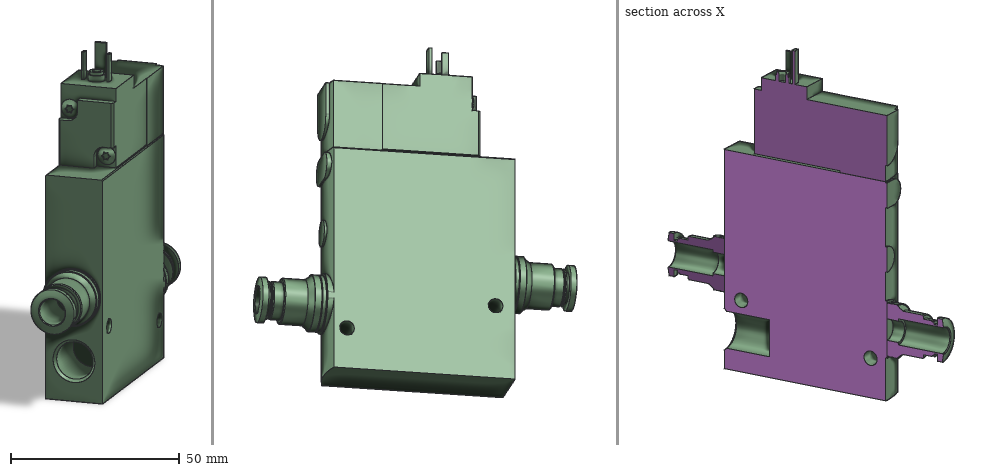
import cadquery as cq
import math

body_width = 18.0
body_side_depth = 55.1
body_depth = 56.4
body_height = 69.1
body_top_chamfer = 0.3
rear_boss_embed = 1.0
rear_boss_face = 57.0
mount_hole_diameter = 4.4
mount_holes = [(6.0, 22.6), (51.1, 12.5)]
port_diameter = 11.5
port_mouth_diameter = 13.2
port_height = 12.4
port_depth = 15.7
rear_collar_diameter = 18.1
boss_diameter = 8.0
lower_boss_height = 44.6
upper_boss_height = body_height - body_top_chamfer - boss_diameter / 2
upper_boss_length = 15.3

front_fitting_height = 32.6
rear_fitting_height = 22.6
fitting_length = 19.6
fitting_flange_diameter = 17.0
fitting_flange_end = 3.7
fitting_cone_end = 5.5
fitting_shank_end = 12.6
fitting_sleeve_end = 16.4
fitting_neck_end = 17.5
fitting_head_end = 19.2
fitting_crown_rise = 0.3
fitting_edge = 0.3
fitting_groove_depth = 0.1
fitting_flange_grooves = (0, 1.4)
fitting_sleeve_groove = 15.5
fitting_cone_diameter = 16.4
fitting_shank_diameter = 13.8
fitting_sleeve_diameter = 11.4
fitting_neck_diameter = 9.4
fitting_head_diameter = 13.7
fitting_mouth_diameter = 8.6
fitting_bore_diameter = 8.0
fitting_bore_depth = 15.7
fitting_passage_diameter = 6.6

rear_block_width = 17.6
coil_width = 17.3
coil_back = 40.3
coil_gap = 0.4
pilot_top = 90.0
tower_top = 93.9
tower_front = 13.0
tower_back = 28.9
cover_face = 10.5
cover_chamfer_width = 0.6
cover_chamfer_depth = 0.6
screw_offset = 5.7
upper_screw_height = 86.5
lower_screw_height = 73.0
screw_pocket_radius = 3.1
screw_diameter = 5.6
screw_height = 1.0
socket_lobes = 6
socket_outer_diameter = 2.7
socket_inner_diameter = 1.8
socket_floor_height = 0.3
rear_pad_width = 12.1
rear_pad_drop = 9.8

contact_centre_y = 20.3
side_contact_offset = 4.0
side_contact_size = (0.7, 2.0)
side_contact_top = 102.4
rear_contact_y = 24.2
rear_contact_size = (3.6, 1.0)
rear_contact_top = 104.5
stud_base_diameter = 5.0
stud_base_top = 95.8
stud_tip_diameter = 4.2
stud_tip_top = 96.8
stud_mouth_diameter = 2.5
stud_bore_diameter = 2.0


def box(x_range, y_range, z_range):
    """Box between two limits along each axis."""
    size = [high - low for low, high in (x_range, y_range, z_range)]
    corner = cq.Vector(x_range[0], y_range[0], z_range[0])
    return cq.Workplane(obj=cq.Solid.makeBox(*size, corner))


def wide_box(width, y_range, z_range):
    """Box centred on x = 0."""
    return box((-width / 2, width / 2), y_range, z_range)


def xz_plane(y):
    """Sketch plane facing +Y whose local axes are -X and Z."""
    return cq.Workplane(cq.Plane((0, y, 0), (-1, 0, 0), (0, 1, 0)))


def bulged_block(width, front, z_low, z_high):
    """Upright block whose rear face is the shallow arc shared by body and pilot."""
    half = body_width / 2
    bulge = body_depth - body_side_depth
    radius = (half ** 2 + bulge ** 2) / (2 * bulge)
    edge = width / 2
    edge_depth = body_depth - radius + math.sqrt(radius ** 2 - edge ** 2)
    return (
        cq.Workplane("XY", origin=(0, 0, z_low))
        .moveTo(-edge, front)
        .lineTo(edge, front)
        .lineTo(edge, edge_depth)
        .threePointArc((0, body_depth), (-edge, edge_depth))
        .close()
        .extrude(z_high - z_low)
    )


def make_body():
    body = bulged_block(body_width, 0, 0, body_height)
    body = body.faces(">Z").edges("|Y").chamfer(body_top_chamfer)
    boss_root = body_side_depth - rear_boss_embed
    boss_length = rear_boss_face - boss_root

    collar = xz_plane(boss_root).center(0, rear_fitting_height).circle(rear_collar_diameter / 2)
    side_limits = wide_box(body_width, (0, rear_boss_face), (0, body_height))
    body = body.union(collar.extrude(boss_length).intersect(side_limits))
    lower_boss = xz_plane(boss_root).center(0, lower_boss_height).circle(boss_diameter / 2)
    body = body.union(lower_boss.extrude(boss_length))
    upper_boss = xz_plane(boss_root).center(0, upper_boss_height).slot2D(upper_boss_length, boss_diameter)
    body = body.union(upper_boss.extrude(boss_length))

    for y, z in mount_holes:
        hole = cq.Workplane("YZ", origin=(-body_width / 2, y, z)).circle(mount_hole_diameter / 2)
        body = body.cut(hole.extrude(body_width))

    mouth_depth = (port_mouth_diameter - port_diameter) / 2
    port = (
        cq.Workplane("XY", origin=(0, 0, port_height))
        .polyline([
            (0, 0),
            (port_mouth_diameter / 2, 0),
            (port_diameter / 2, mouth_depth),
            (port_diameter / 2, port_depth),
            (0, port_depth),
        ])
        .close()
        .revolve(360, (0, 0, 0), (0, 1, 0))
    )
    return body.cut(port)


def make_fitting():
    """Push-in fitting standing on z = 0 and pointing along +Z, bored through."""
    flange = fitting_flange_diameter / 2
    shank = fitting_shank_diameter / 2
    sleeve = fitting_sleeve_diameter / 2
    neck = fitting_neck_diameter / 2
    head = fitting_head_diameter / 2
    mouth = fitting_mouth_diameter / 2
    bore = fitting_bore_diameter / 2
    passage = fitting_passage_diameter / 2
    groove = flange - fitting_groove_depth
    bore_floor = fitting_length - fitting_bore_depth

    outline = []
    for start in fitting_flange_grooves:
        end = start + fitting_edge
        if start > 0:
            outline.append((flange, start))
        outline += [(groove, start), (groove, end), (flange, end)]
    outline += [
        (flange, fitting_flange_end),
        (fitting_cone_diameter / 2, fitting_flange_end),
        (shank, fitting_cone_end),
        (shank, fitting_shank_end - fitting_edge),
        (shank - fitting_edge, fitting_shank_end),
        (sleeve, fitting_shank_end),
        (sleeve, fitting_sleeve_groove),
        (sleeve - fitting_edge, fitting_sleeve_groove + fitting_edge),
        (sleeve - fitting_edge, fitting_sleeve_end - fitting_edge),
        (sleeve, fitting_sleeve_end),
        (neck, fitting_sleeve_end),
        (neck, fitting_neck_end),
        (head, fitting_neck_end),
        (head, fitting_head_end),
    ]
    crown = ((head + mouth) / 2, fitting_head_end + fitting_crown_rise)
    return (
        cq.Workplane("XZ")
        .moveTo(passage, 0)
        .polyline(outline, includeCurrent=True)
        .threePointArc(crown, (mouth, fitting_length))
        .lineTo(bore, fitting_length - fitting_edge)
        .lineTo(bore, bore_floor)
        .lineTo(passage, bore_floor)
        .close()
        .revolve(360, (0, 0, 0), (0, 1, 0))
    )


def make_screw():
    """Domed screw head with a star socket, pointing towards -Y from y = 0."""
    rim = screw_diameter / 2
    dome_radius = (rim ** 2 + screw_height ** 2) / (2 * screw_height)
    dome_centre = dome_radius - screw_height
    half_rise = math.sqrt(dome_radius ** 2 - (rim / 2) ** 2) - dome_centre
    head = (
        cq.Workplane("XY")
        .moveTo(0, 0)
        .lineTo(rim, 0)
        .threePointArc((rim / 2, -half_rise), (0, -screw_height))
        .close()
        .revolve(360, (0, 0, 0), (0, 1, 0))
    )
    star = []
    for corner in range(2 * socket_lobes):
        diameter = socket_inner_diameter if corner % 2 else socket_outer_diameter
        angle = corner * math.pi / socket_lobes
        star.append((diameter / 2 * math.cos(angle), diameter / 2 * math.sin(angle)))
    socket = cq.Workplane("XZ", origin=(0, -socket_floor_height, 0)).polyline(star).close()
    return head.cut(socket.extrude(screw_height))


def make_screw_pocket(side, vertical):
    """Pocket around a screw, open towards one side (+-1) and upwards or downwards (+-1)."""
    half = coil_width / 2
    centre_z = upper_screw_height if vertical > 0 else lower_screw_height
    end_z = pilot_top if vertical > 0 else body_height
    centre_x = side * screw_offset
    inner_x = centre_x - side * screw_pocket_radius
    inner_z = centre_z - vertical * screw_pocket_radius
    diagonal = screw_pocket_radius * math.sqrt(0.5)
    return (
        cq.Workplane("XZ", origin=(0, tower_front, 0))
        .moveTo(side * half, end_z)
        .lineTo(inner_x, end_z)
        .lineTo(inner_x, centre_z)
        .threePointArc((centre_x - side * diagonal, centre_z - vertical * diagonal), (centre_x, inner_z))
        .lineTo(side * half, inner_z)
        .close()
        .extrude(tower_front - cover_face)
    )


def make_stud():
    """Hollow screw stud between the contacts."""
    points = [
        (stud_bore_diameter / 2, tower_top),
        (stud_base_diameter / 2, tower_top),
        (stud_base_diameter / 2, stud_base_top),
        (stud_tip_diameter / 2, stud_base_top),
        (stud_tip_diameter / 2, stud_tip_top),
        (stud_mouth_diameter / 2, stud_tip_top),
        (stud_bore_diameter / 2, stud_base_top),
    ]
    stud = cq.Workplane("XZ").polyline(points).close().revolve(360, (0, 0, 0), (0, 1, 0))
    return stud.translate((0, contact_centre_y, 0))


def make_contact(x, y, size, top):
    half_x = size[0] / 2
    half_y = size[1] / 2
    return box((x - half_x, x + half_x), (y - half_y, y + half_y), (tower_top, top))


def make_pilot():
    coil_bottom = body_height + coil_gap
    half = coil_width / 2

    pilot = bulged_block(rear_block_width, coil_back, body_height, pilot_top)
    cover_inner = half - cover_chamfer_width
    shoulder = cover_face + cover_chamfer_depth
    coil = (
        cq.Workplane("XY", origin=(0, 0, coil_bottom))
        .polyline([
            (-cover_inner, cover_face),
            (cover_inner, cover_face),
            (half, shoulder),
            (half, coil_back),
            (-half, coil_back),
            (-half, shoulder),
        ])
        .close()
        .extrude(pilot_top - coil_bottom)
    )
    pilot = pilot.union(coil)
    pilot = pilot.union(wide_box(coil_width, (tower_front, tower_back), (coil_bottom, tower_top)))

    for side, vertical, height in ((-1, 1, upper_screw_height), (1, -1, lower_screw_height)):
        pilot = pilot.cut(make_screw_pocket(side, vertical))
        pilot = pilot.union(make_screw().translate((side * screw_offset, tower_front, height)))

    pad_root = body_side_depth - rear_boss_embed
    pad_radius = rear_pad_width / 2
    pad_centre = pilot_top - rear_pad_drop
    pad = xz_plane(pad_root).center(0, pad_centre).circle(pad_radius).extrude(rear_boss_face - pad_root)
    pilot = pilot.union(pad)
    pilot = pilot.union(wide_box(rear_pad_width, (pad_root, rear_boss_face), (pad_centre, pilot_top)))

    for x in (-side_contact_offset, side_contact_offset):
        pilot = pilot.union(make_contact(x, contact_centre_y, side_contact_size, side_contact_top))
    pilot = pilot.union(make_contact(0, rear_contact_y, rear_contact_size, rear_contact_top))
    return pilot.union(make_stud())


body = make_body()
pilot = make_pilot()
fitting_places = [
    (0, front_fitting_height, 90),
    (rear_boss_face, rear_fitting_height, -90),
]
fittings = []
for seat_y, height, turn in fitting_places:
    fitting = make_fitting().rotate((0, 0, 0), (1, 0, 0), turn)
    fittings.append(fitting.translate((0, seat_y, height)).val())

result = cq.Compound.makeCompound([body.val(), pilot.val(), *fittings])